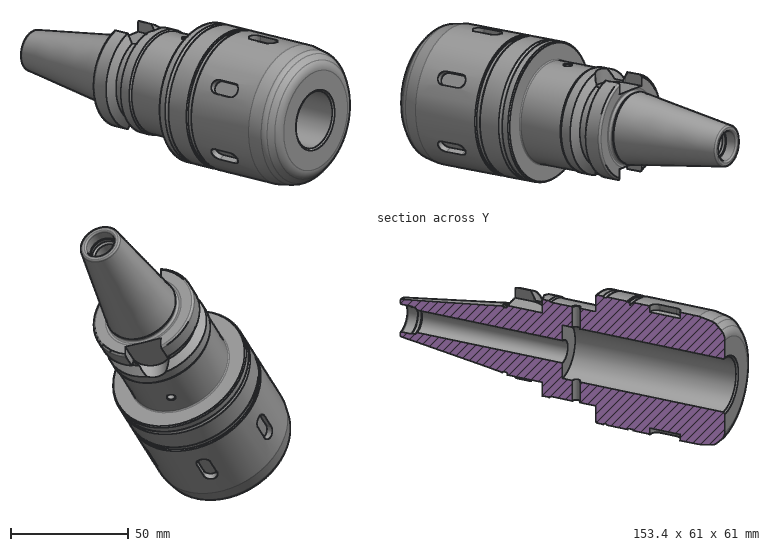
import cadquery as cq
import math

total_length = 153.4

taper_tip_dia = 18.1
taper_base_dia = 31.8
taper_end = 48.2
tip_fillet = 0.8

relief_dia = 30.8
relief_start = 49.0
relief_fillet = 0.9
face_recess_dia = 34.7
face_recess_depth = 0.2

flange_start = 50.5
flange_dia = 46.0
flange_fillet = 0.9
groove_dia = 38.2
groove_near_rim = 57.8
groove_floor_start = 60.1
groove_floor_end = 63.5
groove_far_rim = 65.8
rim_end = 70.4

neck_dia = 45.0
neck_start = 71.3
neck_root_fillet = 0.5

nut_start = 92.3
nut_dia = 61.0
nut_chamfer_length = 0.6
nut_chamfer_dia = 60.0
round_groove_start = 95.9
round_groove_end = 97.7
round_groove_depth = 0.54
flat_groove_start = 107.4
flat_groove_end = 110.1
flat_groove_depth = 0.54
nose_start = 141.1
nose_cone_end = 147.1
nose_cone_end_dia = 58.9
nose_bevel_start = 149.4
nose_bevel_end = 151.7
nose_bevel_angle = math.radians(45)

through_bore_dia = 10.5
counterbore_dia = 12.9
counterbore_depth = 5.2
mouth_fillet = 0.8
thread_dia = 12.5
thread_start = 5.5
thread_end = 7.0
drill_start = 8.0
collet_bore_dia = 25.0
collet_bore_start = 76.7
collet_bore_chamfer = 0.8

drive_slot_count = 2
drive_slot_width = 16.3
drive_slot_end = 67.0
drive_slot_floor = 16.5

drill_clearance = 1.5
radial_hole_count = 2
radial_hole_dia = 3.4
radial_hole_mouth_dia = 4.0
radial_hole_x = 83.1

spanner_slot_count = 6
spanner_slot_start = 118.0
spanner_slot_end = 132.1
spanner_slot_width = 6.1
spanner_slot_floor = 27.6


def turned_body():
    """Outer profile revolved about the X axis, listed from the taper tip to the nut nose."""
    tip_r = taper_tip_dia / 2
    recess_floor = flange_start + face_recess_depth
    neck_r = neck_dia / 2
    nut_r = nut_dia / 2
    groove_mid = (round_groove_start + round_groove_end) / 2
    flat_in = flat_groove_start + flat_groove_depth
    flat_out = flat_groove_end - flat_groove_depth
    flat_r = nut_r - flat_groove_depth
    cone_r = nose_cone_end_dia / 2
    cone_angle = math.atan2(nut_r - cone_r, nose_cone_end - nose_start)
    shoulder_chord_angle = (cone_angle + nose_bevel_angle) / 2
    rim_chord_angle = (nose_bevel_angle + math.pi / 2) / 2
    bevel_r = cone_r - (nose_bevel_start - nose_cone_end) * math.tan(shoulder_chord_angle)
    rim_r = bevel_r - (nose_bevel_end - nose_bevel_start) * math.tan(nose_bevel_angle)
    face_r = rim_r - (total_length - nose_bevel_end) * math.tan(rim_chord_angle)
    return (
        cq.Workplane("XY")
        .moveTo(0, 0)
        .lineTo(0, tip_r - tip_fillet)
        .radiusArc((tip_fillet, tip_r), tip_fillet)
        .lineTo(taper_end, taper_base_dia / 2)
        .lineTo(relief_start, relief_dia / 2)
        .lineTo(recess_floor - relief_fillet, relief_dia / 2)
        .radiusArc((recess_floor, relief_dia / 2 + relief_fillet), -relief_fillet)
        .lineTo(flange_start, face_recess_dia / 2)
        .lineTo(flange_start, flange_dia / 2 - flange_fillet)
        .radiusArc((flange_start + flange_fillet, flange_dia / 2), flange_fillet)
        .lineTo(groove_near_rim, flange_dia / 2)
        .lineTo(groove_floor_start, groove_dia / 2)
        .lineTo(groove_floor_end, groove_dia / 2)
        .lineTo(groove_far_rim, flange_dia / 2)
        .lineTo(rim_end, flange_dia / 2)
        .lineTo(neck_start, neck_r)
        .lineTo(nut_start - neck_root_fillet, neck_r)
        .radiusArc((nut_start, neck_r + neck_root_fillet), -neck_root_fillet)
        .lineTo(nut_start, nut_chamfer_dia / 2)
        .lineTo(nut_start + nut_chamfer_length, nut_r)
        .lineTo(round_groove_start, nut_r)
        .threePointArc((groove_mid, nut_r - round_groove_depth), (round_groove_end, nut_r))
        .lineTo(flat_groove_start, nut_r)
        .lineTo(flat_in, flat_r)
        .lineTo(flat_out, flat_r)
        .lineTo(flat_groove_end, nut_r)
        .lineTo(nose_start, nut_r)
        .lineTo(nose_cone_end, cone_r)
        .tangentArcPoint((nose_bevel_start, bevel_r), relative=False)
        .lineTo(nose_bevel_end, rim_r)
        .tangentArcPoint((total_length, face_r), relative=False)
        .lineTo(total_length, 0)
        .close()
        .revolve(360, (0, 0, 0), (1, 0, 0))
    )


def bore_tool():
    """Stepped hole along the axis, from the counterbore in the tip to the collet bore in the nose."""
    counterbore_r = counterbore_dia / 2
    return (
        cq.Workplane("XY")
        .moveTo(0, 0)
        .lineTo(0, counterbore_r + mouth_fillet)
        .radiusArc((mouth_fillet, counterbore_r), -mouth_fillet)
        .lineTo(counterbore_depth, counterbore_r)
        .lineTo(thread_start, thread_dia / 2)
        .lineTo(thread_end, thread_dia / 2)
        .lineTo(drill_start, through_bore_dia / 2)
        .lineTo(collet_bore_start, through_bore_dia / 2)
        .lineTo(collet_bore_start, collet_bore_dia / 2)
        .lineTo(total_length - collet_bore_chamfer, collet_bore_dia / 2)
        .lineTo(total_length, collet_bore_dia / 2 + collet_bore_chamfer)
        .lineTo(total_length, 0)
        .close()
        .revolve(360, (0, 0, 0), (1, 0, 0))
    )


def drive_slot_tool():
    """Upper drive slot: open at the flange face, flat floor, half-round inner end."""
    radius = drive_slot_width / 2
    arc_centre = drive_slot_end - radius
    return (
        cq.Workplane("XY", origin=(0, 0, drive_slot_floor))
        .moveTo(flange_start, -radius)
        .lineTo(arc_centre, -radius)
        .threePointArc((drive_slot_end, 0), (arc_centre, radius))
        .lineTo(flange_start, radius)
        .close()
        .extrude(flange_dia / 2)
    )


def spanner_slot_tool():
    """Top spanner slot: flat-floored obround running along the axis."""
    slot_mid = (spanner_slot_start + spanner_slot_end) / 2
    return (
        cq.Workplane("XY", origin=(slot_mid, 0, spanner_slot_floor))
        .slot2D(spanner_slot_end - spanner_slot_start, spanner_slot_width)
        .extrude(nut_dia / 2)
    )


def radial_hole_tool():
    """Upper radial hole, from the axis to a countersunk mouth on the neck."""
    r = radial_hole_dia / 2
    mouth_r = radial_hole_mouth_dia / 2
    top = neck_dia / 2
    return (
        cq.Workplane("XZ", origin=(radial_hole_x, 0, 0))
        .moveTo(0, 0)
        .lineTo(r, 0)
        .lineTo(r, top - (mouth_r - r))
        .lineTo(mouth_r, top)
        .lineTo(mouth_r, top + drill_clearance)
        .lineTo(0, top + drill_clearance)
        .close()
        .revolve(360, (0, 0, 0), (0, 1, 0))
    )


def cut_around_axis(body, tool, count):
    """Cut equally spaced copies of the tool, turned about the X axis."""
    for index in range(count):
        body = body.cut(tool.rotate((0, 0, 0), (1, 0, 0), 360 * index / count))
    return body


result = turned_body().cut(bore_tool())
result = cut_around_axis(result, drive_slot_tool(), drive_slot_count)
result = cut_around_axis(result, radial_hole_tool(), radial_hole_count)
result = cut_around_axis(result, spanner_slot_tool(), spanner_slot_count)